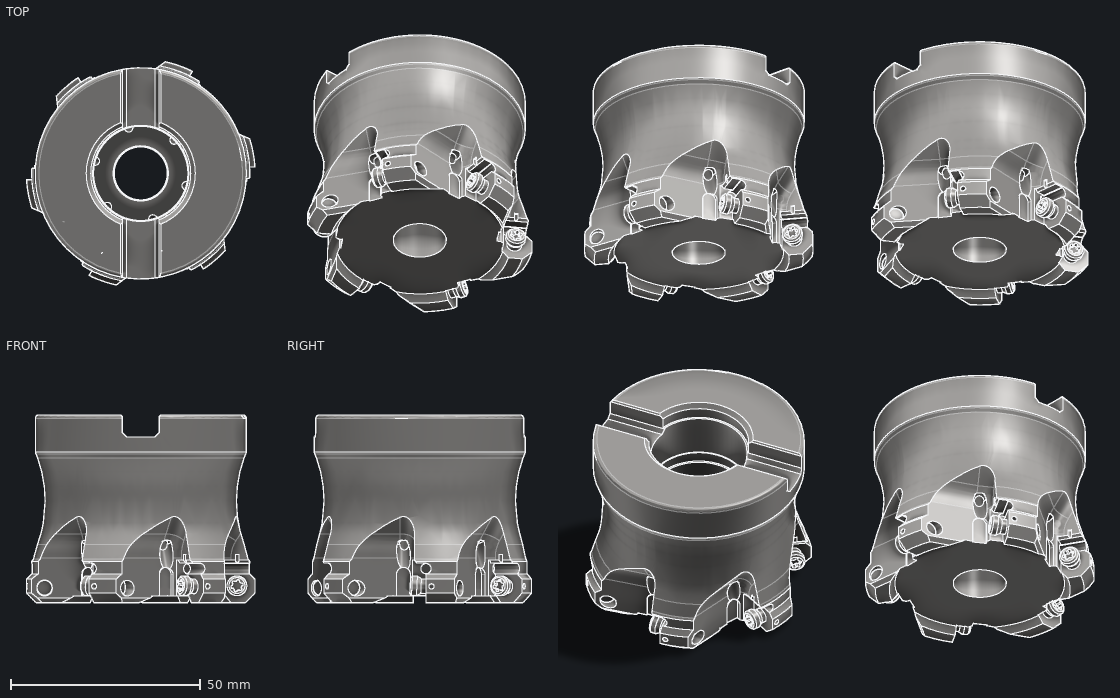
import cadquery as cq
import math

TOTAL_HEIGHT = 49.68
CLEAR = 10.0

RIM_RADIUS = 27.9
RIM_BOTTOM = 39.8
RIM_BEVEL_RADIUS = 27.75
RIM_BEVEL_BOTTOM = 39.35
TOP_ROUND = 1.0
NECK_END_RADIUS = 27.3
NECK_TOP = 38.3
NECK_BOTTOM = 15.5
WAIST_RADIUS = 25.3
SHOULDER_RADIUS = 28.8
SHOULDER_TOP = 10.95
SHOULDER_BEVEL_RADIUS = 28.4
SHOULDER_BEVEL_TOP = 11.6

TOOTH_RADIUS = 30.207
TOOTH_LAND_BOTTOM = 2.6
TOOTH_LAND_TOP = 6.3
TOOTH_TOP = TOOTH_LAND_TOP + TOOTH_RADIUS - SHOULDER_RADIUS
TOOTH_FOOT_RADIUS = TOOTH_RADIUS - TOOTH_LAND_BOTTOM
FACE_RECESS_DEPTH = 1.9
FACE_RECESS_TOP_RADIUS = 22.4
FACE_RECESS_RIM_RADIUS = 23.9

BORE_RADIUS = 12.7
BORE_FLOOR = 23.0
BORE_FLOOR_RADIUS = 12.45
BORE_RELIEF_RADIUS = 12.95
BORE_RELIEF_TOP = 33.2
BORE_RELIEF_BOTTOM = 30.0
BORE_MOUTH_RADIUS = 13.2
BORE_MOUTH_DEPTH = 4.3
BORE_MOUTH_CHAMFER = 1.2
BOLT_HOLE_RADIUS = 7.0
BOLT_HOLE_CHAMFER = 0.3

SLOT_HALF_WIDTH = 4.83
SLOT_DEPTH = 5.8
SLOT_FLOOR_CHAMFER = 1.1
SLOT_MOUTH_CHAMFER = 0.45

TOOTH_COUNT = 6
TOOTH_PITCH = 360 / TOOTH_COUNT
WALL_Y = -1.4

GULLET_FLOOR = 19.66
GULLET_FLOOR_ANGLE = 7.0
GULLET_STRAIGHT_TOP = 11.9
GULLET_RUNOUT_ANGLE = 32.0
GULLET_BEND_RADIUS = 11.9
GULLET_CORNER_RADIUS = 3.4
GULLET_TOP = 32.0
GULLET_REACH = 40.0
BACK_EDGE_CHAMFER_HEIGHT = 1.3
BACK_EDGE_CHAMFER_WIDTH = 0.9

SEAT_Y = 1.65
SEAT_INNER_X = 22.1
LEDGE_HEIGHT = 10.6
LEDGE_BEVEL_HEIGHT = 0.7
LEDGE_BEVEL_WIDTH = 0.6
GROOVE_RADIUS = 1.35
GROOVE_HEIGHT = TOOTH_TOP + GROOVE_RADIUS
GROOVE_INNER_X = 21.0

NOTCH_X = 25.5
NOTCH_RADIUS = 0.5
NOTCH_TOP = 12.8
LAND_HOLE_RADIUS = 0.7
LAND_HOLE_Y = 3.1

DRILL_RADIUS = 1.82
DRILL_Y = -4.3
DRILL_TILT = 19.0
DRILL_SHOULDER = (20.0, 15.9)
DRILL_POINT_HEIGHT = 1.05
DRILL_LENGTH = 14.0
FEED_RADIUS = 1.25
FEED_START_HEIGHT = 2.0
FEED_START = (10.8, -3.1, BORE_FLOOR + FEED_START_HEIGHT)
FEED_END = (20.4, DRILL_Y, 14.0)
CHIP_POCKET_X = 20.2
CHIP_POCKET_TOP = 9.4

SCREW_X = 25.4
SCREW_HEIGHT = 4.38
SCREW_TILT = 3.0
SHANK_RADIUS = 1.95
SHANK_DEPTH = 7.15
SHANK_PROUD = 1.3
HEAD_RADIUS = 2.6
HEAD_TAPER_TOP = 2.4
HEAD_TOP = 4.2
HEAD_CHAMFER = 0.5
HOLE_MOUTH_RADIUS = 2.05
TORX_CORE_RADIUS = 1.2
TORX_LOBE_RADIUS = 0.42
TORX_DEPTH = 1.5
TORX_LOBES = 6
TORX_TURN = 15.0


def revolved(outline):
    """Turn an outline of (radius, height) about the Z axis."""
    return outline.close().revolve(360, (0, 0, 0), (0, 1, 0))


def make_blank():
    """Turned outside shape, with the teeth still joined into a ring."""
    outline = (
        cq.Workplane("XZ")
        .moveTo(0, FACE_RECESS_DEPTH)
        .lineTo(FACE_RECESS_TOP_RADIUS, FACE_RECESS_DEPTH)
        .lineTo(FACE_RECESS_RIM_RADIUS, 0)
        .lineTo(TOOTH_FOOT_RADIUS, 0)
        .lineTo(TOOTH_RADIUS, TOOTH_LAND_BOTTOM)
        .lineTo(TOOTH_RADIUS, TOOTH_LAND_TOP)
        .lineTo(SHOULDER_RADIUS, TOOTH_TOP)
        .lineTo(SHOULDER_RADIUS, SHOULDER_TOP)
        .lineTo(SHOULDER_BEVEL_RADIUS, SHOULDER_BEVEL_TOP)
        .lineTo(NECK_END_RADIUS, NECK_BOTTOM)
        .threePointArc((WAIST_RADIUS, (NECK_TOP + NECK_BOTTOM) / 2), (NECK_END_RADIUS, NECK_TOP))
        .lineTo(RIM_BEVEL_RADIUS, RIM_BEVEL_BOTTOM)
        .lineTo(RIM_RADIUS, RIM_BOTTOM)
        .lineTo(RIM_RADIUS, TOTAL_HEIGHT - TOP_ROUND)
        .tangentArcPoint((RIM_RADIUS - TOP_ROUND, TOTAL_HEIGHT), relative=False)
        .lineTo(0, TOTAL_HEIGHT)
    )
    return revolved(outline)


def make_bore():
    """Arbor bore with a chamfered mouth and a relief groove, and the bolt hole below it."""
    mouth_bottom = TOTAL_HEIGHT - BORE_MOUTH_DEPTH
    outline = (
        cq.Workplane("XZ")
        .moveTo(0, 0)
        .lineTo(BOLT_HOLE_RADIUS, 0)
        .lineTo(BOLT_HOLE_RADIUS, BORE_FLOOR - BOLT_HOLE_CHAMFER)
        .lineTo(BOLT_HOLE_RADIUS + BOLT_HOLE_CHAMFER, BORE_FLOOR)
        .lineTo(BORE_FLOOR_RADIUS, BORE_FLOOR)
        .lineTo(BORE_FLOOR_RADIUS, BORE_RELIEF_BOTTOM)
        .lineTo(BORE_RELIEF_RADIUS, BORE_RELIEF_BOTTOM)
        .lineTo(BORE_RELIEF_RADIUS, BORE_RELIEF_TOP)
        .lineTo(BORE_RADIUS, BORE_RELIEF_TOP)
        .lineTo(BORE_RADIUS, mouth_bottom)
        .lineTo(BORE_MOUTH_RADIUS, mouth_bottom)
        .lineTo(BORE_MOUTH_RADIUS, TOTAL_HEIGHT - BORE_MOUTH_CHAMFER)
        .lineTo(BORE_MOUTH_RADIUS + BORE_MOUTH_CHAMFER, TOTAL_HEIGHT)
        .lineTo(0, TOTAL_HEIGHT)
    )
    return revolved(outline)


def make_drive_slot():
    """Drive slot along Y across the whole top face."""
    floor = TOTAL_HEIGHT - SLOT_DEPTH
    right_half = [
        (SLOT_HALF_WIDTH - SLOT_FLOOR_CHAMFER, floor),
        (SLOT_HALF_WIDTH, floor + SLOT_FLOOR_CHAMFER),
        (SLOT_HALF_WIDTH, TOTAL_HEIGHT - SLOT_MOUTH_CHAMFER),
        (SLOT_HALF_WIDTH + SLOT_MOUTH_CHAMFER, TOTAL_HEIGHT),
    ]
    left_half = [(-x, z) for x, z in reversed(right_half)]
    return cq.Workplane("XZ").polyline(right_half + left_half).close().extrude(TOOTH_RADIUS, both=True)


def make_gullet():
    """Space in front of a tooth: a wall, a floor that bends outward at its top, and a round corner."""
    angle = math.radians(GULLET_RUNOUT_ANGLE)
    bend_end = (
        GULLET_FLOOR + GULLET_BEND_RADIUS * (1 - math.cos(angle)),
        GULLET_STRAIGHT_TOP + GULLET_BEND_RADIUS * math.sin(angle),
    )
    runout_x = bend_end[0] + (GULLET_TOP - bend_end[1]) * math.tan(angle)
    sweep = (
        cq.Workplane("XZ")
        .moveTo(GULLET_FLOOR, -CLEAR)
        .lineTo(GULLET_FLOOR, GULLET_STRAIGHT_TOP)
        .tangentArcPoint(bend_end, relative=False)
        .lineTo(runout_x, GULLET_TOP)
        .lineTo(GULLET_REACH, GULLET_TOP)
        .lineTo(GULLET_REACH, -CLEAR)
        .close()
        .extrude(GULLET_REACH, both=True)
        .rotate((0, 0, 0), (0, 0, 1), GULLET_FLOOR_ANGLE)
    )
    side = 4 * GULLET_REACH
    front_of_wall = cq.Workplane("XY").box(side, side, side).translate((0, WALL_Y - side / 2, 0))
    gullet = sweep.intersect(front_of_wall)

    def corner_edge(distance, height):
        slant = math.radians(GULLET_FLOOR_ANGLE)
        x = (distance - WALL_Y * math.sin(slant)) / math.cos(slant)
        return cq.selectors.NearestToPointSelector((x, WALL_Y, height))

    straight = corner_edge(GULLET_FLOOR, (GULLET_STRAIGHT_TOP - CLEAR) / 2)
    bend = corner_edge(
        GULLET_FLOOR + GULLET_BEND_RADIUS * (1 - math.cos(angle / 2)),
        GULLET_STRAIGHT_TOP + GULLET_BEND_RADIUS * math.sin(angle / 2),
    )
    runout = corner_edge((bend_end[0] + runout_x) / 2, (bend_end[1] + GULLET_TOP) / 2)
    corner = gullet.edges(straight).add(gullet.edges(bend)).add(gullet.edges(runout))
    return corner.fillet(GULLET_CORNER_RADIUS)


def make_back_edge_chamfer():
    """Wedge that breaks the lower back edge of the tooth behind the gullet."""
    return (
        cq.Workplane("XZ")
        .moveTo(GULLET_FLOOR - BACK_EDGE_CHAMFER_WIDTH, 0)
        .lineTo(GULLET_FLOOR, BACK_EDGE_CHAMFER_HEIGHT)
        .lineTo(GULLET_FLOOR, 0)
        .close()
        .extrude(GULLET_REACH)
        .rotate((0, 0, 0), (0, 0, 1), GULLET_FLOOR_ANGLE)
    )


def make_seat():
    """Stepped pocket behind the gullet wall, with a relief groove under its ledge."""
    length = GULLET_REACH - SEAT_INNER_X
    bevel_top = LEDGE_HEIGHT + LEDGE_BEVEL_HEIGHT
    pocket = (
        cq.Workplane("YZ", origin=(SEAT_INNER_X, 0, 0))
        .moveTo(-CLEAR, -CLEAR)
        .lineTo(SEAT_Y, -CLEAR)
        .lineTo(SEAT_Y, LEDGE_HEIGHT)
        .lineTo(WALL_Y + LEDGE_BEVEL_WIDTH, LEDGE_HEIGHT)
        .lineTo(WALL_Y, bevel_top)
        .lineTo(-CLEAR, bevel_top)
        .close()
        .extrude(length)
    )
    groove = (
        cq.Workplane("YZ", origin=(GROOVE_INNER_X, SEAT_Y, GROOVE_HEIGHT))
        .circle(GROOVE_RADIUS)
        .extrude(GULLET_REACH - GROOVE_INNER_X)
    )
    notch = (
        cq.Workplane("XY", origin=(NOTCH_X, WALL_Y, LEDGE_HEIGHT))
        .circle(NOTCH_RADIUS)
        .extrude(NOTCH_TOP - LEDGE_HEIGHT)
    )
    return pocket.union(groove).union(notch)


def make_coolant_passage():
    """Tilted drill hole in the gullet corner, and its feed hole from the bore floor."""
    x, z = DRILL_SHOULDER
    drill = revolved(
        cq.Workplane("XZ")
        .moveTo(0, -DRILL_LENGTH)
        .lineTo(DRILL_RADIUS, -DRILL_LENGTH)
        .lineTo(DRILL_RADIUS, 0)
        .lineTo(0, DRILL_POINT_HEIGHT)
    )
    drill = drill.rotate((0, 0, 0), (0, 1, 0), -DRILL_TILT).translate((x, DRILL_Y, z))
    start = cq.Vector(*FEED_START)
    path = cq.Vector(*FEED_END) - start
    feed = cq.Workplane(cq.Solid.makeCylinder(FEED_RADIUS, path.Length, start, path))
    return drill.union(feed)


def make_chip_pocket():
    """Shallow flat with a round top, below the coolant outlet."""
    return (
        cq.Workplane("YZ", origin=(CHIP_POCKET_X, 0, 0))
        .moveTo(DRILL_Y - DRILL_RADIUS, 0)
        .lineTo(DRILL_Y + DRILL_RADIUS, 0)
        .lineTo(DRILL_Y + DRILL_RADIUS, CHIP_POCKET_TOP - DRILL_RADIUS)
        .threePointArc((DRILL_Y, CHIP_POCKET_TOP), (DRILL_Y - DRILL_RADIUS, CHIP_POCKET_TOP - DRILL_RADIUS))
        .close()
        .extrude(DRILL_RADIUS * 2)
    )


def make_land_hole():
    """Small hole from the tooth land into the screw hole."""
    return (
        cq.Workplane("YZ", origin=(SCREW_X, LAND_HOLE_Y, SCREW_HEIGHT))
        .circle(LAND_HOLE_RADIUS)
        .extrude(CLEAR)
    )


def place_on_seat(shape):
    """Move a shape made along +Z, its seat plane at Z = 0, to the screw position of a tooth."""
    turned = shape.rotate((0, 0, 0), (1, 0, 0), 90 - SCREW_TILT)
    return turned.translate((SCREW_X, SEAT_Y, SCREW_HEIGHT))


def make_screw_hole():
    """Snug hole for the shank, wider behind the shank end."""
    top = cq.Workplane("XY", origin=(0, 0, SHANK_PROUD))
    shank = top.circle(SHANK_RADIUS).extrude(-SHANK_PROUD - SHANK_DEPTH)
    mouth = cq.Workplane("XY", origin=(0, 0, -SHANK_DEPTH)).circle(HOLE_MOUTH_RADIUS).extrude(-CLEAR / 2)
    return place_on_seat(shank.union(mouth))


def make_screw():
    """Shank and tapered head with a six-lobe socket."""
    screw = revolved(
        cq.Workplane("XZ")
        .moveTo(0, -SHANK_DEPTH)
        .lineTo(SHANK_RADIUS, -SHANK_DEPTH)
        .lineTo(SHANK_RADIUS, SHANK_PROUD)
        .lineTo(HEAD_RADIUS, HEAD_TAPER_TOP)
        .lineTo(HEAD_RADIUS, HEAD_TOP - HEAD_CHAMFER)
        .lineTo(HEAD_RADIUS - HEAD_CHAMFER, HEAD_TOP)
        .lineTo(0, HEAD_TOP)
    )
    top = cq.Workplane("XY", origin=(0, 0, HEAD_TOP))
    socket = top.circle(TORX_CORE_RADIUS).extrude(-TORX_DEPTH)
    lobe_centres = top.polarArray(TORX_CORE_RADIUS, TORX_TURN, 360, TORX_LOBES)
    lobes = lobe_centres.circle(TORX_LOBE_RADIUS).extrude(-TORX_DEPTH)
    return place_on_seat(screw.cut(socket).cut(lobes))


def around_axis(shape):
    """One copy of a shape for each tooth."""
    return [shape.rotate((0, 0, 0), (0, 0, 1), i * TOOTH_PITCH) for i in range(TOOTH_COUNT)]


tooth_cuts = [
    make_gullet(),
    make_back_edge_chamfer(),
    make_seat(),
    make_coolant_passage(),
    make_chip_pocket(),
    make_land_hole(),
    make_screw_hole(),
]

cutter_body = make_blank().cut(make_bore()).cut(make_drive_slot())
for tooth_cut in tooth_cuts:
    for placed_cut in around_axis(tooth_cut):
        cutter_body = cutter_body.cut(placed_cut)

screws = around_axis(make_screw())

result = cq.Compound.makeCompound([cutter_body.solids().val(), *[screw.val() for screw in screws]])